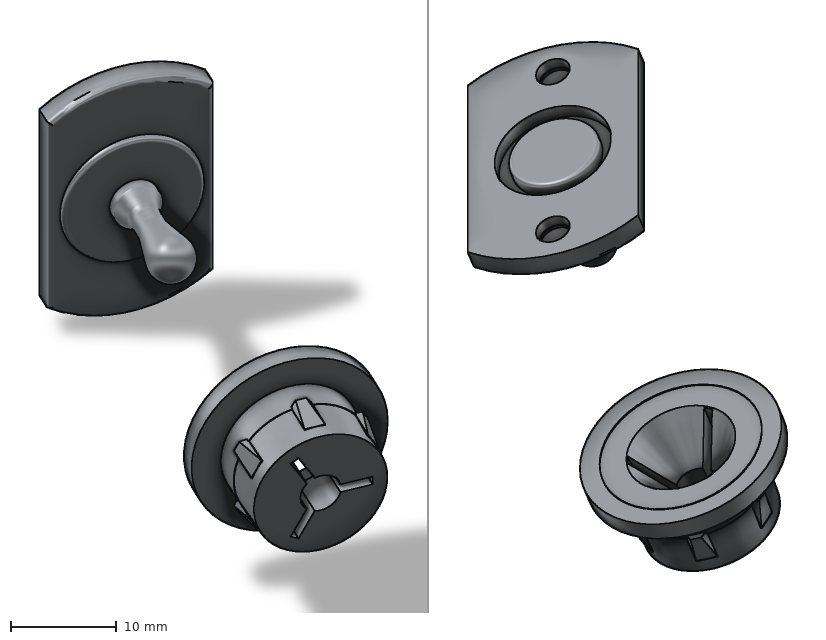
import cadquery as cq
import math


plate_length = 27.95
plate_radius = plate_length / 2
plate_half_width = 8.45
plate_thickness = 2.5
plate_edge_round = 0.6
boss_radius = 7.3
boss_height = 0.6
boss_edge_round = 0.55
boss_face = plate_thickness + boss_height
pocket_radius = 5.75
pocket_depth = 1.5
rivet_hole_diameter = 3.35
rivet_hole_radius = rivet_hole_diameter / 2
rivet_hole_depth = 1.2
rivet_seat_radius = 1.6
rivet_seat_depth = 1.5
rivet_hole_offset = 10.55

head_diameter = 9.0
head_radius = head_diameter / 2
head_edge_round = 0.5
head_inset = 0.1
collar_radius = 2.5
collar_end = 4.15
collar_edge_round = 0.3
neck_radius = 1.55
neck_start = 6.05
neck_end = 8.1
neck_round = 1.55
ball_radius = 2.45
ball_tip = 15.05
ball_center = ball_tip - ball_radius
ball_arc_angle = math.pi / 4

socket_end = 51.45
flange_start = 41.4
flange_radius = 10.0
flange_thickness = 2.0
flange_end = flange_start + flange_thickness
face_recess_radius = 8.0
face_recess_depth = 0.1
funnel_start = flange_start + face_recess_depth
barrel_radius = 7.0
barrel_step = 46.7
nose_start_radius = 6.95
nose_end_radius = 6.8
funnel_mouth_radius = 5.4
funnel_throat_radius = 2.05
funnel_depth = 5.15
slot_width = 0.95
slot_floor_radius = 5.3
slot_count = 3
first_slot_angle = 30

tooth_start = 46.35
tooth_end = 49.95
tooth_width = 2.1
tooth_top_radius = 7.55
tooth_lean = 0.5
tooth_root_radius = 6.45
tooth_count = 6


def disc(radius, start, end):
    """Cylinder about the X axis between two X positions."""
    return cq.Workplane("YZ").workplane(offset=start).circle(radius).extrude(end - start)


def turn(profile):
    """Revolve an (x, radius) profile about the X axis."""
    return profile.close().revolve(360, (0, 0, 0), (1, 0, 0))


def edge_at(x, radius):
    """Selector for the circular edge of a given radius around the X axis."""
    margin = 0.05
    return cq.selectors.BoxSelector(
        (x - margin, -radius - margin, -radius - margin),
        (x + margin, radius + margin, radius + margin),
        boundingbox=True,
    )


def make_plate():
    flats = cq.Workplane("YZ").rect(2 * plate_half_width, plate_length).extrude(plate_thickness)
    plate = disc(plate_radius, 0, plate_thickness).intersect(flats)
    plate = plate.faces(">X").edges().fillet(plate_edge_round)
    boss = disc(boss_radius, pocket_depth, boss_face).faces(">X").edges().fillet(boss_edge_round)
    plate = plate.union(boss)
    plate = plate.cut(disc(pocket_radius, 0, pocket_depth))
    plate = plate.cut(disc(collar_radius, 0, boss_face))
    rivet_hole = disc(rivet_hole_radius, 0, rivet_hole_depth)
    rivet_hole = rivet_hole.union(disc(rivet_seat_radius, 0, rivet_seat_depth))
    for side in (-1, 1):
        plate = plate.cut(rivet_hole.translate((0, 0, side * rivet_hole_offset)))
    return plate


def make_stud():
    reach = ball_center - neck_end
    cone_angle = math.asin(ball_radius / math.hypot(reach, neck_radius)) - math.atan2(neck_radius, reach)
    joint = (
        ball_center - ball_radius * math.sin(cone_angle),
        ball_radius * math.cos(cone_angle),
    )
    ball_arc_point = (
        ball_center + ball_radius * math.sin(ball_arc_angle),
        ball_radius * math.cos(ball_arc_angle),
    )
    stud = turn(
        cq.Workplane("XY")
        .moveTo(head_inset, 0)
        .lineTo(head_inset, head_radius)
        .lineTo(pocket_depth, head_radius)
        .lineTo(pocket_depth, collar_radius)
        .lineTo(collar_end, collar_radius)
        .lineTo(neck_start, neck_radius)
        .lineTo(neck_end, neck_radius)
        .lineTo(*joint)
        .threePointArc(ball_arc_point, (ball_tip, 0))
    )
    stud = stud.faces("<X").edges().fillet(head_edge_round)
    stud = stud.edges(edge_at(collar_end, collar_radius)).fillet(collar_edge_round)
    stud = stud.edges(edge_at(neck_start, neck_radius)).fillet(neck_round)
    return stud.edges(edge_at(neck_end, neck_radius)).fillet(neck_round)


def make_tooth():
    """Tooth at the top of the barrel, with leaning flanks and a ramp falling toward +X."""
    half = tooth_width / 2
    flank_foot = math.sqrt(nose_start_radius**2 - half**2)
    section = (
        cq.Workplane("YZ")
        .workplane(offset=tooth_start)
        .polyline(
            [
                (-half, tooth_root_radius),
                (half, tooth_root_radius),
                (half, flank_foot),
                (half - tooth_lean, tooth_top_radius),
                (tooth_lean - half, tooth_top_radius),
                (-half, flank_foot),
            ]
        )
        .close()
        .extrude(tooth_end - tooth_start)
    )
    ramp = (
        cq.Workplane("XZ")
        .polyline(
            [
                (tooth_start, tooth_root_radius),
                (tooth_start, tooth_top_radius),
                (tooth_end, flank_foot),
                (tooth_end, tooth_root_radius),
            ]
        )
        .close()
        .extrude(half, both=True)
    )
    return section.intersect(ramp)


def make_socket():
    socket = turn(
        cq.Workplane("XY")
        .moveTo(flange_start, 0)
        .lineTo(flange_start, flange_radius)
        .lineTo(flange_end, flange_radius)
        .lineTo(flange_end, barrel_radius)
        .lineTo(barrel_step, barrel_radius)
        .lineTo(barrel_step, nose_start_radius)
        .lineTo(socket_end, nose_end_radius)
        .lineTo(socket_end, 0)
    )
    tooth = make_tooth()
    for index in range(tooth_count):
        socket = socket.union(tooth.rotate((0, 0, 0), (1, 0, 0), index * 360 / tooth_count))
    socket = socket.cut(disc(face_recess_radius, flange_start, funnel_start))
    funnel = turn(
        cq.Workplane("XY")
        .moveTo(funnel_start, 0)
        .lineTo(funnel_start, funnel_mouth_radius)
        .lineTo(funnel_start + funnel_depth, funnel_throat_radius)
        .lineTo(socket_end, funnel_throat_radius)
        .lineTo(socket_end, 0)
    )
    socket = socket.cut(funnel)
    slot = (
        cq.Workplane("XY")
        .box(socket_end - funnel_start, slot_width, slot_floor_radius, centered=(False, True, False))
        .translate((funnel_start, 0, 0))
    )
    for index in range(slot_count):
        slot_angle = first_slot_angle + index * 360 / slot_count
        socket = socket.cut(slot.rotate((0, 0, 0), (1, 0, 0), slot_angle))
    return socket


plate = make_plate()
stud = make_stud()
socket = make_socket()
result = cq.Compound.makeCompound([plate.val(), stud.val(), socket.val()])